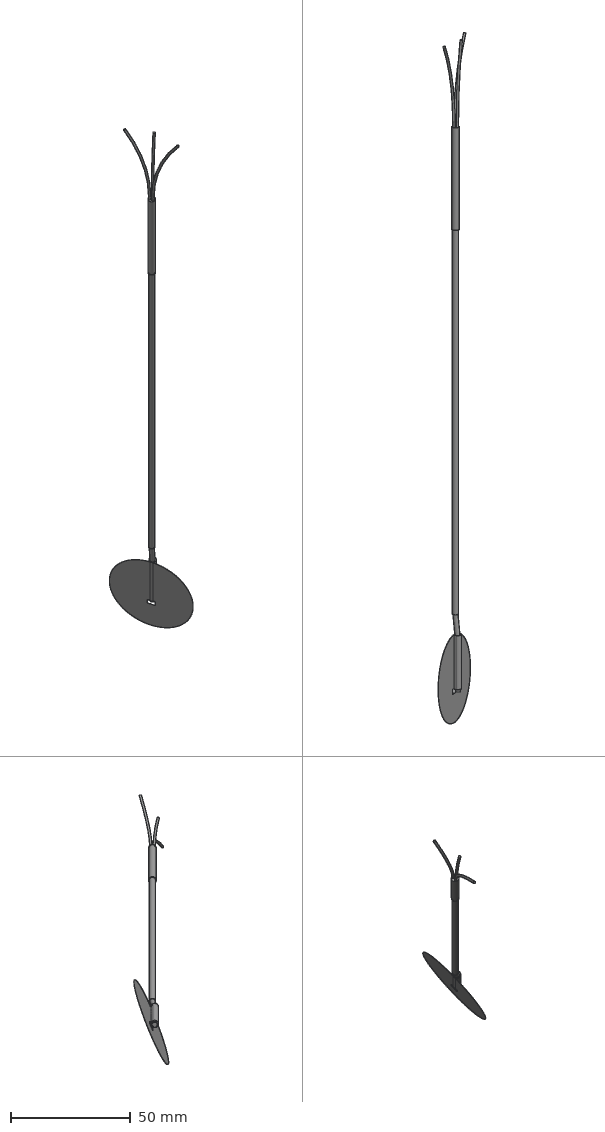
import cadquery as cq
import math

total_height = 295.3
disc_diameter = 38.0
disc_thickness = 0.15
disc_front_y = -0.5
disc_center_z = disc_diameter / 2

shaft_diameter = 2.7
shaft_bottom_z = 47.0
sleeve_diameter = 3.2
sleeve_bottom_z = 213.2
sleeve_top_z = 257.5

wire_diameter = 2.25
wire_end_z = 13.5
clamp_bottom_z = 14.8
clamp_top_z = disc_diameter
wire_step_bottom_z = 36.5
clamp_y = disc_front_y + sleeve_diameter / 2

window_width = 3.5
window_bottom_z = 12.7
window_top_z = clamp_bottom_z

prong_diameter = 1.05
prong_root_offset = 1.0
prong_bend_z = 259.8
prong_embed = 3.0
side_prong_reach = 12.0
middle_prong_reach = 2.57
side_prong_angles = (210, 330)


def upright_cylinder(diameter, bottom_z, top_z, y=0.0):
    return (
        cq.Workplane("XY", origin=(0, y, bottom_z))
        .circle(diameter / 2)
        .extrude(top_z - bottom_z)
    )


def make_disc():
    disc = (
        cq.Workplane("XZ", origin=(0, disc_front_y, disc_center_z))
        .circle(disc_diameter / 2)
        .extrude(-disc_thickness)
    )
    window = (
        cq.Workplane("XZ", origin=(0, disc_front_y, (window_bottom_z + window_top_z) / 2))
        .rect(window_width, window_top_z - window_bottom_z)
        .extrude(-disc_thickness)
    )
    return disc.cut(window)


def make_wire():
    path = (
        cq.Workplane("YZ")
        .moveTo(clamp_y, wire_end_z)
        .lineTo(clamp_y, wire_step_bottom_z)
        .lineTo(0, shaft_bottom_z)
        .lineTo(0, sleeve_bottom_z)
    )
    return (
        cq.Workplane("XY", origin=(0, clamp_y, wire_end_z))
        .circle(wire_diameter / 2)
        .sweep(path, transition="round")
    )


def make_prong(plane_name, root, spread, plane_offset=0.0):
    """Prong that rises straight, then bends outward by `spread` along a tangent arc."""
    plane = cq.Plane.named(plane_name)
    plane.origin = plane.zDir * plane_offset
    rise = total_height - prong_bend_z
    tip_tilt = 2 * math.atan2(abs(spread), rise)
    tip_z = total_height - prong_diameter / 2 * math.sin(tip_tilt)
    start_z = sleeve_top_z - prong_embed
    path = (
        cq.Workplane(plane)
        .moveTo(root, start_z)
        .lineTo(root, prong_bend_z)
        .tangentArcPoint((root + spread, tip_z), relative=False)
    )
    start = plane.toWorldCoords((root, start_z))
    return (
        cq.Workplane("XY", origin=start.toTuple())
        .circle(prong_diameter / 2)
        .sweep(path)
    )


result = (
    upright_cylinder(shaft_diameter, shaft_bottom_z, sleeve_bottom_z)
    .union(upright_cylinder(sleeve_diameter, sleeve_bottom_z, sleeve_top_z))
    .union(make_wire())
    .union(upright_cylinder(sleeve_diameter, clamp_bottom_z, clamp_top_z, clamp_y))
    .union(make_disc())
)

for angle in side_prong_angles:
    root_x = prong_root_offset * math.cos(math.radians(angle))
    root_y = prong_root_offset * math.sin(math.radians(angle))
    spread_x = math.copysign(side_prong_reach, root_x) - root_x
    result = result.union(make_prong("XZ", root_x, spread_x, -root_y))

middle_spread = middle_prong_reach - prong_root_offset
result = result.union(make_prong("YZ", prong_root_offset, middle_spread))